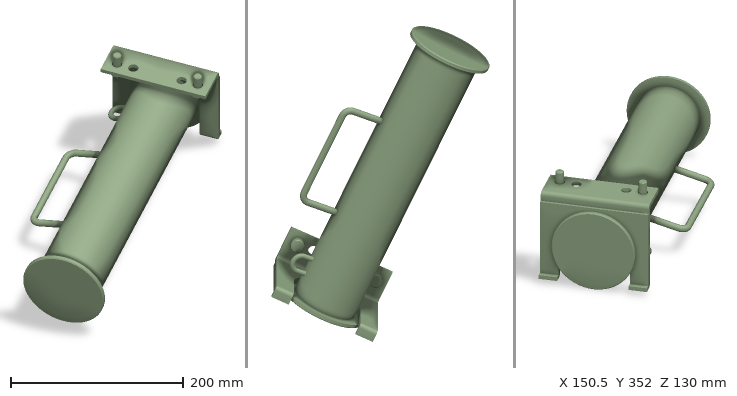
import cadquery as cq
import math


front_end_y = -352.0
tube_diameter = 76.5
flange_diameter = 100.0
flange_thickness = 5.0
flange_chamfer = 1.0
rear_end_y = -1.0

bracket_width = 130.0
slot_width = 86.0
sheet = 5.0
bend_radius = 5.0
backing_thickness = 3.0
backing_rear_y = rear_end_y - flange_thickness
backing_front_y = backing_rear_y - backing_thickness
bracket_front_y = backing_front_y - sheet
bracket_top_z = 65.0
bracket_bottom_z = -44.0
shelf_end_y = -54.2
backing_top_z = 54.2
lip_top_z = bracket_bottom_z + sheet

screw_spacing = 100.0
screw_y = -39.5
screw_diameter = 10.0
screw_hole_diameter = 12.0
screw_head_diameter = 16.0
screw_head_height = 10.0
screw_tip_z = 80.0
screw_chamfer = 1.0
head_chamfer = 0.7
spare_hole_spacing = 60.0

rod_tilt = 14.0
handle_diameter = 8.0
handle_reach = 84.0
handle_leg_spacing = 123.5
handle_center_y = -177.0
handle_bend_radius = 10.0
hook_diameter = 6.0
hook_reach = 58.0
hook_bend_radius = 10.0
hook_center_y = -41.5


def cylinder_along_y(diameter, start_y, end_y):
    """Cylinder on the tube axis, running from start_y toward a lower end_y."""
    disc = cq.Workplane("XZ", origin=(0, start_y, 0)).circle(diameter / 2)
    return disc.extrude(start_y - end_y)


def make_flanged_tube():
    rear = cylinder_along_y(flange_diameter, rear_end_y, rear_end_y - flange_thickness)
    rear = rear.faces(">Y").chamfer(flange_chamfer)
    front = cylinder_along_y(flange_diameter, front_end_y + flange_thickness, front_end_y)
    front = front.faces("<Y").chamfer(flange_chamfer)
    tube = cylinder_along_y(tube_diameter, rear_end_y, front_end_y)
    return tube.union(rear).union(front)


def make_slot_cutter():
    """Slot open at the bottom, through backing plate and bracket, with a round top centred on the tube axis."""
    half = slot_width / 2
    below = bracket_bottom_z - sheet
    outline = (
        cq.Workplane("XZ")
        .moveTo(-half, below)
        .lineTo(-half, 0)
        .threePointArc((0, half), (half, 0))
        .lineTo(half, below)
        .close()
    )
    return outline.extrude(-bracket_front_y)


def make_backing_plate():
    plate = cq.Workplane("XY").box(
        bracket_width, backing_thickness, backing_top_z - lip_top_z, centered=(True, False, False)
    ).translate((0, backing_front_y, lip_top_z))
    return plate.cut(make_slot_cutter())


def make_bracket():
    """Z-bent sheet: shelf forward at the top, two lips backward at the bottom."""
    shelf_bottom_z = bracket_top_z - sheet
    profile = (
        cq.Workplane("YZ", origin=(-bracket_width / 2, 0, 0))
        .moveTo(shelf_end_y, bracket_top_z)
        .lineTo(backing_front_y - bend_radius, bracket_top_z)
        .radiusArc((backing_front_y, bracket_top_z - bend_radius), bend_radius)
        .lineTo(backing_front_y, lip_top_z)
        .lineTo(0, lip_top_z)
        .lineTo(0, bracket_bottom_z)
        .lineTo(bracket_front_y + bend_radius, bracket_bottom_z)
        .radiusArc((bracket_front_y, bracket_bottom_z + bend_radius), bend_radius)
        .lineTo(bracket_front_y, shelf_bottom_z - bend_radius)
        .radiusArc((bracket_front_y - bend_radius, shelf_bottom_z), -bend_radius)
        .lineTo(shelf_end_y, shelf_bottom_z)
        .close()
    )
    hole_spacings = (screw_spacing, spare_hole_spacing)
    hole_places = [(side * spacing / 2, screw_y) for spacing in hole_spacings for side in (-1, 1)]
    holes = (
        cq.Workplane("XY", origin=(0, 0, shelf_bottom_z))
        .pushPoints(hole_places)
        .circle(screw_hole_diameter / 2)
        .extrude(sheet)
    )
    return profile.extrude(bracket_width).cut(make_slot_cutter()).cut(holes)


def make_screw(x):
    """Screw pointing up, with its head against the underside of the shelf."""
    seat_z = bracket_top_z - sheet
    seat = cq.Workplane("XY", origin=(x, screw_y, seat_z))
    shank = seat.circle(screw_diameter / 2).extrude(screw_tip_z - seat_z)
    shank = shank.faces(">Z").chamfer(screw_chamfer)
    head = seat.circle(screw_head_diameter / 2).extrude(-screw_head_height)
    head = head.faces("<Z").chamfer(head_chamfer)
    return head.union(shank)


def make_bent_rod(diameter, reach, leg_spacing, corner_radius, center_y):
    """U-shaped rod reaching toward -X, tilted down and ending on the tube surface."""
    half = leg_spacing / 2
    bend_x = -reach + corner_radius
    flat_half = half - corner_radius
    diagonal = corner_radius * math.sqrt(0.5)
    path = (
        cq.Workplane("XY")
        .lineTo(bend_x, 0)
        .threePointArc((bend_x - diagonal, -corner_radius + diagonal), (-reach, -corner_radius))
    )
    if flat_half > 0:
        path = path.lineTo(-reach, -corner_radius - 2 * flat_half)
    path = path.threePointArc(
        (bend_x - diagonal, -leg_spacing + corner_radius - diagonal), (bend_x, -leg_spacing)
    ).lineTo(0, -leg_spacing)
    rod = cq.Workplane("YZ").circle(diameter / 2).sweep(path)
    rod = rod.translate((0, center_y + half, 0)).rotate((0, 0, 0), (0, 1, 0), -rod_tilt)
    return rod.cut(cylinder_along_y(tube_diameter, 0, front_end_y))


flanged_tube = make_flanged_tube()
backing_plate = make_backing_plate()
bracket = make_bracket()
screws = [make_screw(side * screw_spacing / 2) for side in (-1, 1)]
handle = make_bent_rod(
    handle_diameter, handle_reach, handle_leg_spacing, handle_bend_radius, handle_center_y
)
hook = make_bent_rod(hook_diameter, hook_reach, 2 * hook_bend_radius, hook_bend_radius, hook_center_y)

result = cq.Compound.makeCompound([
    flanged_tube.solids().val(),
    backing_plate.solids().val(),
    bracket.solids().val(),
    *[screw.solids().val() for screw in screws],
    handle.solids().val(),
    hook.solids().val(),
])